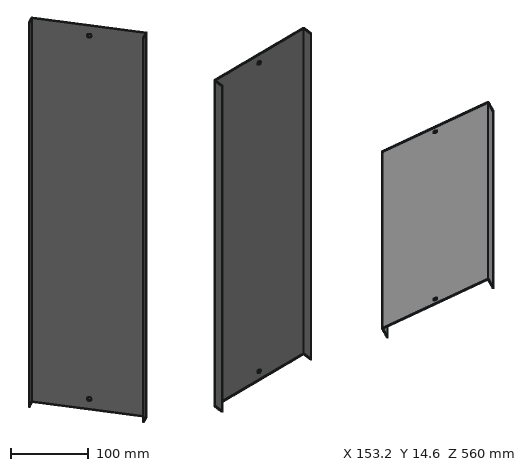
import cadquery as cq

WIDTH = 153.2
DEPTH = 14.6
HEIGHT = 560.0

SHEET_THICKNESS = 0.6

HOLE_DIAMETER = 5.0
HOLE_EDGE_DISTANCE = 15.0


def make_channel():
    """Upright channel: web on the +Y side, flanges pointing toward -Y."""
    envelope = cq.Workplane("XY").box(WIDTH, DEPTH, HEIGHT)
    hollow = (
        cq.Workplane("XY")
        .box(WIDTH - 2 * SHEET_THICKNESS, DEPTH, HEIGHT)
        .translate((0, -SHEET_THICKNESS, 0))
    )
    return envelope.cut(hollow)


def make_mounting_holes():
    """Two cylinders along Y, centred on the width, one near each end."""
    hole_height = HEIGHT / 2 - HOLE_EDGE_DISTANCE
    return (
        cq.Workplane("XZ")
        .pushPoints([(0, hole_height), (0, -hole_height)])
        .circle(HOLE_DIAMETER / 2)
        .extrude(DEPTH, both=True)
    )


result = make_channel().cut(make_mounting_holes())